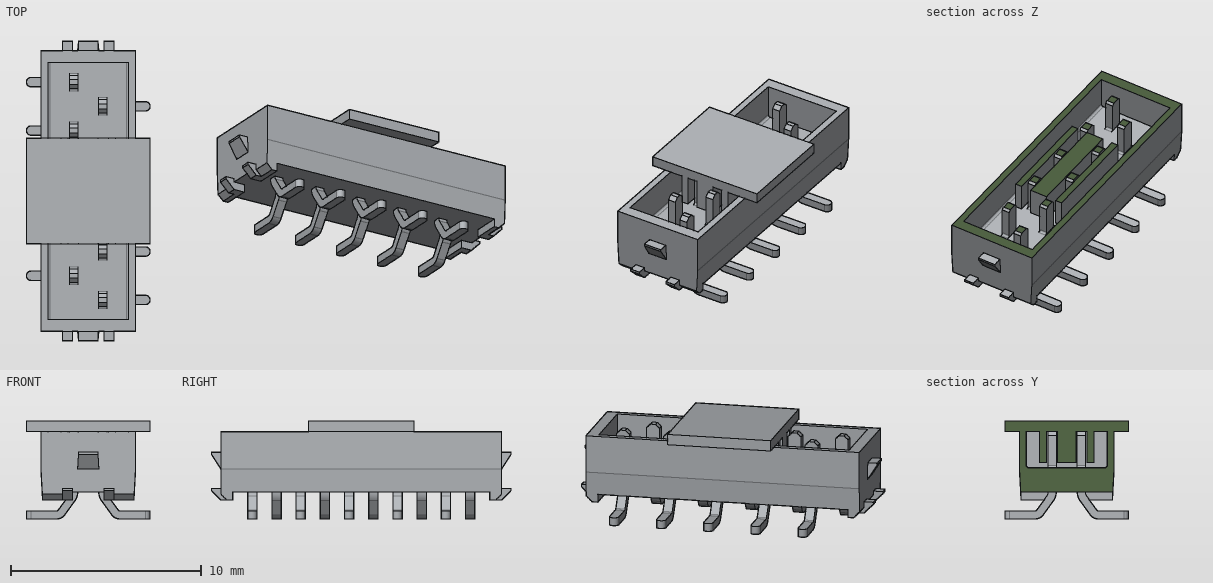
import cadquery as cq
import math

FOOT_BOTTOM_Z = 0.99
BODY_BOTTOM_Z = 1.42
TAPER_START_Z = 2.62
FLOOR_Z = 2.70
RIM_Z = 4.59
TOP_Z = 5.15

BODY_LENGTH = 14.73
BODY_WIDTH = 4.98
FOOT_WIDTH = 4.80
POCKET_LENGTH = 13.48
POCKET_WIDTH = 4.24
FLOOR_FILLET = 0.125
END_OVERHANG = 0.50

FOOT_LENGTH = 0.63
FOOT_GAP = 1.64
FOOT_CHAMFER = 0.32

CATCH_TOP_Z = 3.51
CATCH_TIP_HEIGHT = 0.11
CATCH_TOP_WIDTH = 1.01
CATCH_BOTTOM_WIDTH = 1.12
HOOK_TOP_Z = 1.615
HOOK_TIP_HEIGHT = 0.125
HOOK_WIDTH = 0.54

CAP_WIDTH = 6.50
CAP_LENGTH = 5.55
CAP_LEG_BOTTOM_Z = 2.96
CENTRE_LEG_WIDTH = 1.0
OUTER_LEG_INSIDE = 1.05
OUTER_LEG_OUTSIDE = 1.43

CONTACT_COUNT = 10
PITCH = 1.27
ROW_X = 0.76
THICKNESS = 0.43
BLADE_WIDTH = 0.69
BLADE_TOP_Z = RIM_Z
BLADE_TIP_WIDTH = 0.26
BLADE_TIP_HEIGHT = 0.20
BLADE_BASE_FILLET = 0.11
BLADE_ROOT_DEPTH = 0.30
BLADE_ROOT_Z = FLOOR_Z - BLADE_ROOT_DEPTH
LEAD_WIDTH = 0.50
LEAD_REACH = CAP_WIDTH / 2
LEAD_BEND_X = 1.67
LOWER_BEND_RADIUS = 0.12
UPPER_BEND_RADIUS = 0.34
LEAD_ANGLE = math.radians(54.2)


def centred_box(width, length, bottom, top):
    """Box centred on the Z axis between two heights."""
    return cq.Workplane("XY").workplane(offset=bottom).rect(width, length).extrude(top - bottom)


def extrude_along_y(outline, length):
    """Extrude an XZ workplane outline symmetrically about y = 0."""
    return outline.extrude(length / 2, both=True)


def make_housing():
    half_top = BODY_WIDTH / 2
    half_foot = FOOT_WIDTH / 2
    section = cq.Workplane("XZ").polyline([
        (-half_top, RIM_Z),
        (half_top, RIM_Z),
        (half_top, TAPER_START_Z),
        (half_foot, FOOT_BOTTOM_Z),
        (-half_foot, FOOT_BOTTOM_Z),
        (-half_top, TAPER_START_Z),
    ]).close()
    body = extrude_along_y(section, BODY_LENGTH)

    between_feet = BODY_LENGTH - 2 * FOOT_LENGTH
    body = body.cut(centred_box(BODY_WIDTH, between_feet, FOOT_BOTTOM_Z, BODY_BOTTOM_Z))
    body = body.cut(centred_box(FOOT_GAP, BODY_LENGTH, FOOT_BOTTOM_Z, BODY_BOTTOM_Z))
    end_y = BODY_LENGTH / 2
    bevel = cq.Workplane("YZ").polyline([
        (end_y, FOOT_BOTTOM_Z),
        (end_y, FOOT_BOTTOM_Z + FOOT_CHAMFER),
        (end_y - FOOT_CHAMFER, FOOT_BOTTOM_Z),
    ]).close().extrude(BODY_WIDTH / 2, both=True)
    body = body.cut(bevel).cut(bevel.mirror("XZ"))

    pocket = centred_box(POCKET_WIDTH, POCKET_LENGTH, FLOOR_Z, RIM_Z)
    pocket = pocket.edges("<Z and |Y").fillet(FLOOR_FILLET)
    return body.cut(pocket)


def make_end_catch():
    """Tapered wedge in the middle of the +Y end wall."""
    wall_y = BODY_LENGTH / 2
    tip_y = wall_y + END_OVERHANG
    wedge = cq.Workplane("YZ").polyline([
        (wall_y, TAPER_START_Z),
        (wall_y, CATCH_TOP_Z),
        (tip_y, CATCH_TOP_Z),
        (tip_y, CATCH_TOP_Z - CATCH_TIP_HEIGHT),
    ]).close().extrude(CATCH_BOTTOM_WIDTH / 2, both=True)
    taper = cq.Workplane("XZ").polyline([
        (-CATCH_TOP_WIDTH / 2, CATCH_TOP_Z),
        (CATCH_TOP_WIDTH / 2, CATCH_TOP_Z),
        (CATCH_BOTTOM_WIDTH / 2, TAPER_START_Z),
        (-CATCH_BOTTOM_WIDTH / 2, TAPER_START_Z),
    ]).close()
    return wedge.intersect(extrude_along_y(taper, 2 * tip_y))


def make_hook():
    """Small hook at the bottom of the +Y end wall, on the +X side of the foot gap."""
    wall_y = BODY_LENGTH / 2
    tip_y = wall_y + END_OVERHANG
    return cq.Workplane("YZ").workplane(offset=FOOT_GAP / 2).polyline([
        (wall_y - FOOT_CHAMFER, FOOT_BOTTOM_Z),
        (wall_y - FOOT_CHAMFER, HOOK_TOP_Z),
        (tip_y, HOOK_TOP_Z),
        (tip_y, HOOK_TOP_Z - HOOK_TIP_HEIGHT),
        (wall_y, FOOT_BOTTOM_Z),
    ]).close().extrude(HOOK_WIDTH)


def make_cap():
    """Flat pick-up plate with three legs reaching down beside the contact rows."""
    cap = centred_box(CAP_WIDTH, CAP_LENGTH, RIM_Z, TOP_Z)
    cap = cap.union(centred_box(CENTRE_LEG_WIDTH, CAP_LENGTH, CAP_LEG_BOTTOM_Z, RIM_Z))
    leg_width = OUTER_LEG_OUTSIDE - OUTER_LEG_INSIDE
    leg_x = (OUTER_LEG_OUTSIDE + OUTER_LEG_INSIDE) / 2
    outer_leg = centred_box(leg_width, CAP_LENGTH, CAP_LEG_BOTTOM_Z, RIM_Z)
    for side in (-1, 1):
        cap = cap.union(outer_leg.translate((side * leg_x, 0, 0)))
    return cap


def make_blade():
    """Upright blade of a +X contact, with a bevelled tip and a flared base."""
    half_width = BLADE_WIDTH / 2
    half_tip = BLADE_TIP_WIDTH / 2
    half_base = half_width + BLADE_BASE_FILLET
    fillet_top_z = FLOOR_Z + BLADE_BASE_FILLET
    arc_offset = BLADE_BASE_FILLET * (1 - math.sqrt(0.5))
    return (
        cq.Workplane("YZ").workplane(offset=ROW_X - THICKNESS / 2)
        .moveTo(-half_base, BLADE_ROOT_Z)
        .lineTo(-half_base, FLOOR_Z)
        .threePointArc((-half_width - arc_offset, FLOOR_Z + arc_offset), (-half_width, fillet_top_z))
        .lineTo(-half_width, BLADE_TOP_Z - BLADE_TIP_HEIGHT)
        .lineTo(-half_tip, BLADE_TOP_Z)
        .lineTo(half_tip, BLADE_TOP_Z)
        .lineTo(half_width, BLADE_TOP_Z - BLADE_TIP_HEIGHT)
        .lineTo(half_width, fillet_top_z)
        .threePointArc((half_width + arc_offset, FLOOR_Z + arc_offset), (half_base, FLOOR_Z))
        .lineTo(half_base, BLADE_ROOT_Z)
        .close()
        .extrude(THICKNESS)
    )


def make_lead():
    """Gull-wing lead of a +X contact, bent twice at constant thickness."""
    outer_x = ROW_X + THICKNESS / 2
    inner_x = ROW_X - THICKNESS / 2
    upper_outside = UPPER_BEND_RADIUS + THICKNESS
    lower_outside = LOWER_BEND_RADIUS + THICKNESS

    normal_angle = math.pi / 2 - LEAD_ANGLE
    lower_z = lower_outside
    upper_x = outer_x + UPPER_BEND_RADIUS
    radius_step = UPPER_BEND_RADIUS - LOWER_BEND_RADIUS
    run = LEAD_BEND_X - upper_x
    upper_z = lower_z + (radius_step + run * math.cos(normal_angle)) / math.sin(normal_angle)

    def upper(radius, angle):
        return upper_x - radius * math.cos(angle), upper_z - radius * math.sin(angle)

    def lower(radius, angle):
        return LEAD_BEND_X - radius * math.cos(angle), lower_z - radius * math.sin(angle)

    upper_middle = normal_angle / 2
    lower_middle = (normal_angle + math.pi / 2) / 2
    profile = (
        cq.Workplane("XZ")
        .moveTo(outer_x, BLADE_ROOT_Z)
        .lineTo(outer_x, upper_z)
        .threePointArc(upper(UPPER_BEND_RADIUS, upper_middle), upper(UPPER_BEND_RADIUS, normal_angle))
        .lineTo(*lower(LOWER_BEND_RADIUS, normal_angle))
        .threePointArc(lower(LOWER_BEND_RADIUS, lower_middle), (LEAD_BEND_X, THICKNESS))
        .lineTo(LEAD_REACH, THICKNESS)
        .lineTo(LEAD_REACH, 0)
        .lineTo(LEAD_BEND_X, 0)
        .threePointArc(lower(lower_outside, lower_middle), lower(lower_outside, normal_angle))
        .lineTo(*upper(upper_outside, normal_angle))
        .threePointArc(upper(upper_outside, upper_middle), (inner_x, upper_z))
        .lineTo(inner_x, BLADE_ROOT_Z)
        .close()
    )
    lead = extrude_along_y(profile, LEAD_WIDTH)

    plan = cq.Workplane("XY").slot2D(2 * LEAD_REACH, LEAD_WIDTH).extrude(BLADE_ROOT_Z)
    return lead.intersect(plan)


def add_contacts(part):
    contact = make_blade().union(make_lead())
    for index in range(CONTACT_COUNT):
        y = ((CONTACT_COUNT - 1) / 2 - index) * PITCH
        on_left = index % 2 == 0
        placed = contact.mirror("YZ") if on_left else contact
        part = part.union(placed.translate((0, y, 0)))
    return part


def add_end_features(part):
    hook = make_hook()
    end_features = make_end_catch().union(hook).union(hook.mirror("YZ"))
    return part.union(end_features).union(end_features.mirror("XZ"))


result = make_housing()
result = add_end_features(result)
result = add_contacts(result)
result = result.union(make_cap())